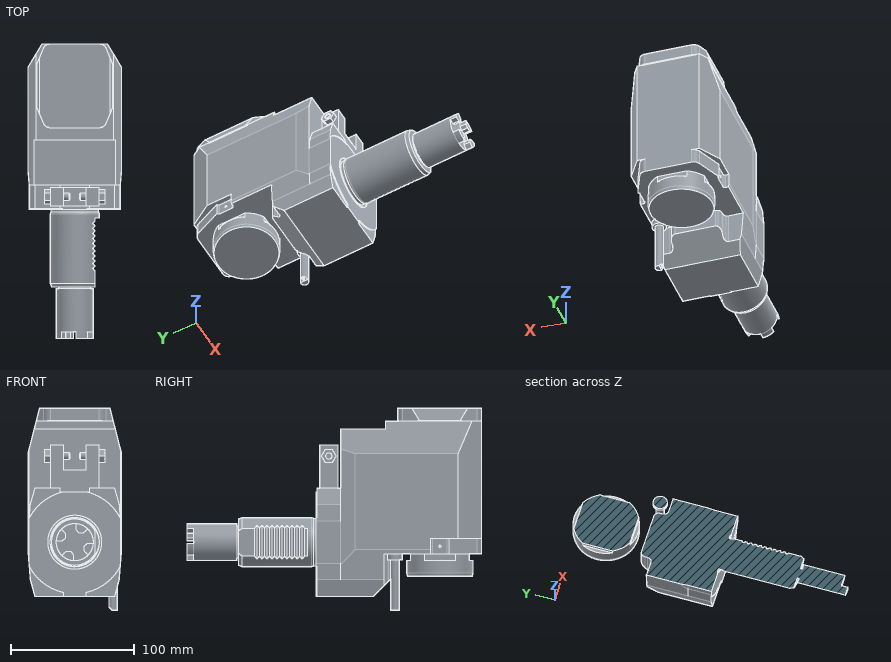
import cadquery as cq
import math


half_width = 38.0
overlap = 2.5
back_y = 134.2
flange_depth = 20.0
top_z = 98.0
ledge_z = 91.7
ledge_y = 56.1
underside_z = -9.5
foot_z = -44.2
foot_back_y = 55.2
foot_bevel = 8.8

shoulder_z = 71.7
top_half_width = 31.3
shoulder_slope = (half_width - top_half_width) / (top_z - shoulder_z)
waist_z = -6.0
knee_z = 30.3
knee_half_width = 36.0
foot_half_width = 32.2
back_half_width = 26.5
back_bevel_y = 115.1
front_bevel_y = 31.8
front_half_width = 37.0

spindle_y = 100.3
cap_top_z = 108.5
end_half_width = 24.0
end_slope = math.tan(math.radians(22.5))
end_fillet = 6.2
end_front_y = 66.2
end_center_y = (back_y + end_front_y) / 2
end_half_length = (back_y - end_front_y) / 2
joint_height = 0.5
joint_inset = 0.5
recess_top_z = 2.9
pocket_half_length = 7.6
pocket_half_width = 33.5
pocket_fillet = 1.7
pocket_hole_diameter = 1.7
pocket_hole_depth = 2.5

rib_back_y = 65.5
rib_half_width = 21.5
rib_fillet = 4.3
rib_root_fillet = 3.5

flange_top_z = 43.7
flange_mid_z = 17.2
pad_height = 0.7
pad_radius = 41.8
tongue_width = 18.2
notch_width = 24.0
notch_floor_z = 40.5
collar_recess_diameter = 43.7

fork_front_y = 2.9
fork_back_y = 18.0
fork_half_width = 19.8
fork_top_z = 78.8
fork_gap = 18.2
fork_floor_z = 58.5
bolt_z = 69.7
bolt_tip_x = 3.8
bolt_diameter = 6.0
bolt_chamfer = 1.0
bolt_head_height = 4.5
bolt_head_flats = 10.3
bolt_socket_diameter = 5.0
bolt_socket_depth = 0.7

shank_diameter = 40.0
undercut_diameter = 38.7
undercut_length = 2.0
shank_start_chamfer = 0.5
shank_start_chamfer_length = 1.7
shank_end_y = -62.8
shank_end_chamfer = 1.2
shank_end_chamfer_length = 3.0
neck_diameter = 26.0
neck_length = 1.2
drive_diameter = 30.0
tip_y = -104.5
flat_x = 16.5
flat_start_y = -7.0
tooth_count = 10
tooth_pitch = 4.0
tooth_depth = 2.0
first_tooth_y = -11.2

lug_count = 4
lug_length = 5.5
lug_side_x = 1.0
lug_side_z = 10.3
lug_nose_start_x = 3.3
lug_nose_end_x = 7.0
lug_nose_z = 7.5
lug_outer_x = 14.5

nose_diameter = 54.0
nose_end_z = -27.7
nose_chamfer_height = 2.9
nose_chamfer = 0.7
nose_flats = 47.8
nose_flats_end_z = -14.8

pipe_x = 31.0
pipe_y = 64.0
pipe_diameter = 7.0
pipe_end_z = -55.2
pipe_bevel = 2.6
nozzle_diameter = 2.1
nozzle_depth = 2.9
pipe_collar_diameter = 12.0
pipe_collar_height = 4.8


def box(x_range, y_range, z_range):
    sizes = [high - low for low, high in (x_range, y_range, z_range)]
    corner = (x_range[0], y_range[0], z_range[0])
    return cq.Workplane("XY").box(*sizes, centered=False).translate(corner)


def rod_along_y(diameter, y_start, y_end):
    """Cylinder on the shank axis, from y_start down to y_end."""
    plane = cq.Workplane("XZ", origin=(0, y_start, 0))
    return plane.circle(diameter / 2).extrude(y_start - y_end)


def rod_along_z(diameter, x, y, z_top, z_bottom):
    return cq.Workplane("XY", origin=(x, y, z_bottom)).circle(diameter / 2).extrude(z_top - z_bottom)


def symmetric_prism(plane, right_side, length):
    """Prism whose outline is the given right side and its mirror image."""
    left_side = [(-u, v) for u, v in reversed(right_side)]
    return plane.polyline(right_side + left_side).close().extrude(length)


def housing_section():
    """Housing cross-section along Y, with its shoulders running on up to the cap."""
    cap_half_width = half_width - shoulder_slope * (cap_top_z - shoulder_z)
    right_side = [
        (foot_half_width, foot_z),
        (knee_half_width, -knee_z),
        (half_width, waist_z),
        (half_width, shoulder_z),
        (cap_half_width, cap_top_z),
    ]
    plane = cq.Workplane("XZ", origin=(0, back_y, 0))
    return symmetric_prism(plane, right_side, back_y - flange_depth)


def housing_side():
    outline = [
        (flange_depth, foot_z),
        (foot_back_y - foot_bevel, foot_z),
        (foot_back_y, foot_z + foot_bevel),
        (foot_back_y, underside_z),
        (back_y, underside_z),
        (back_y, top_z),
        (ledge_y, top_z),
        (ledge_y, ledge_z),
        (flange_depth, ledge_z),
    ]
    return cq.Workplane("YZ").polyline(outline).close().extrude(half_width, both=True)


def housing_plan():
    right_side = [
        (front_half_width, flange_depth),
        (half_width, front_bevel_y),
        (half_width, back_bevel_y),
        (back_half_width, back_y),
    ]
    plane = cq.Workplane("XY", origin=(0, 0, foot_z))
    return symmetric_prism(plane, right_side, top_z - foot_z)


def end_block(z_bottom, z_top):
    """Six-sided block above and below the spindle, rounded at its front and back corners."""
    bulge = end_half_width + end_slope * end_half_length
    right_side = [
        (end_half_width, -end_half_length),
        (bulge, 0),
        (end_half_width, end_half_length),
    ]
    plane = cq.Workplane("XY", origin=(0, end_center_y, z_bottom))
    block = symmetric_prism(plane, right_side, z_top - z_bottom)
    return block.edges("|Z and (>Y or <Y)").fillet(end_fillet)


def side_pocket():
    """Pocket beside the spindle, on both sides of the housing, with a pin hole in its floor."""
    pocket = box(
        (pocket_half_width, half_width + overlap),
        (spindle_y - pocket_half_length, spindle_y + pocket_half_length),
        (underside_z, recess_top_z),
    )
    pocket = pocket.edges("|Z and <X").fillet(pocket_fillet)
    hole_z = (underside_z + recess_top_z) / 2
    hole_plane = cq.Workplane("YZ", origin=(pocket_half_width, spindle_y, hole_z))
    hole = hole_plane.circle(pocket_hole_diameter / 2).extrude(-pocket_hole_depth)
    pocket = pocket.union(hole)
    return pocket.union(pocket.mirror("YZ"))


def foot_rib():
    """Rib behind the foot, under the same 45 degree bevel as the foot."""
    rib = box(
        (-rib_half_width, rib_half_width),
        (foot_back_y - overlap, rib_back_y),
        (foot_z, underside_z),
    )
    rib = rib.edges("|Z and >Y").fillet(rib_fillet)
    for side in (-1, 1):
        corner_x = side * rib_half_width
        root_x = side * (rib_half_width + rib_root_fillet)
        root = box(
            (min(corner_x, root_x), max(corner_x, root_x)),
            (foot_back_y, foot_back_y + rib_root_fillet),
            (foot_z, underside_z),
        )
        hollow = rod_along_z(
            2 * rib_root_fillet, root_x, foot_back_y + rib_root_fillet, underside_z, foot_z
        )
        rib = rib.union(root.cut(hollow))
    bevel_start_y = foot_back_y - foot_bevel
    bevel_rise = underside_z - foot_z
    below_bevel = [
        (bevel_start_y, foot_z),
        (bevel_start_y + bevel_rise, underside_z),
        (bevel_start_y + bevel_rise, foot_z),
    ]
    cutter = cq.Workplane("YZ").polyline(below_bevel).close().extrude(half_width, both=True)
    return rib.cut(cutter)


def cap(section):
    """Cap that follows the housing shoulders, set off by a shallow joint groove."""
    joint_top_z = top_z + joint_height
    joint_half_width = top_half_width - shoulder_slope * joint_height - joint_inset
    joint = end_block(top_z, joint_top_z).intersect(
        box(
            (-joint_half_width, joint_half_width),
            (end_front_y + joint_inset, back_y - joint_inset),
            (top_z, joint_top_z),
        )
    )
    return end_block(joint_top_z, cap_top_z).intersect(section).union(joint)


def housing():
    section = housing_section()
    body = section.intersect(housing_side()).intersect(housing_plan())
    recess = box(
        (-half_width, half_width),
        (spindle_y, back_y),
        (underside_z, recess_top_z),
    ).cut(end_block(underside_z, recess_top_z))
    return body.cut(recess).cut(side_pocket()).union(cap(section)).union(foot_rib())


def flange():
    right_side = [
        (foot_half_width, foot_z),
        (knee_half_width, -knee_z),
        (front_half_width, -flange_mid_z),
        (front_half_width, flange_mid_z),
        (knee_half_width, knee_z),
        (foot_half_width, flange_top_z),
    ]
    plane = cq.Workplane("XZ", origin=(0, flange_depth, 0))
    plate = symmetric_prism(plane, right_side, flange_depth)
    face_layer = box((-half_width, half_width), (0, pad_height), (foot_z, flange_top_z))
    pad = rod_along_y(2 * pad_radius, pad_height, 0)
    tongue = box((-tongue_width / 2, tongue_width / 2), (0, pad_height), (foot_z, 0))
    notch = box(
        (-notch_width / 2, notch_width / 2), (0, flange_depth), (notch_floor_z, flange_top_z)
    )
    collar_recess = rod_along_y(collar_recess_diameter, pad_height, 0)
    return plate.cut(face_layer.cut(pad).cut(tongue)).cut(notch).cut(collar_recess)


def fork_bolt():
    """Hexagon-head bolt through the fork arm on the -X side."""
    bolt_y = (fork_front_y + fork_back_y) / 2
    plane = cq.Workplane("YZ", origin=(-fork_half_width, bolt_y, bolt_z))
    stem = plane.circle(bolt_diameter / 2).extrude(fork_half_width - bolt_tip_x)
    stem = stem.faces(">X").chamfer(bolt_chamfer)
    head_corners = bolt_head_flats / math.cos(math.pi / 6)
    head = plane.polygon(6, head_corners).extrude(-bolt_head_height)
    head = head.faces("<X").workplane().hole(bolt_socket_diameter, bolt_socket_depth)
    return stem.union(head)


def fork():
    y_range = (fork_front_y, fork_back_y)
    arms = box((-fork_half_width, fork_half_width), y_range, (flange_top_z, fork_top_z))
    gap = box((-fork_gap / 2, fork_gap / 2), y_range, (fork_floor_z, fork_top_z))
    foot = box((-notch_width / 2, notch_width / 2), y_range, (notch_floor_z, flange_top_z))
    bolt = fork_bolt()
    return arms.cut(gap).union(foot).union(bolt).union(bolt.mirror("YZ"))


def tooth_row():
    """Flat along the +X side of the shank, with a row of V-shaped teeth."""
    flat = box(
        (flat_x, shank_diameter),
        (shank_end_y, flat_start_y),
        (-shank_diameter / 2, shank_diameter / 2),
    )
    for index in range(tooth_count):
        y = first_tooth_y - index * tooth_pitch
        outline = [
            (flat_x, y - tooth_pitch / 2),
            (flat_x - tooth_depth, y),
            (flat_x, y + tooth_pitch / 2),
        ]
        groove = cq.Workplane("XY").polyline(outline).close().extrude(shank_diameter / 2, both=True)
        flat = flat.union(groove)
    return flat


def tip_lugs():
    """Lugs with bevelled noses, flush with the drive diameter and evenly spaced on the axis."""
    drive_radius = drive_diameter / 2
    outline = [
        (lug_side_x, drive_radius),
        (lug_side_x, lug_side_z),
        (lug_nose_start_x, lug_nose_z),
        (lug_nose_end_x, lug_nose_z),
        (lug_outer_x, lug_nose_z + lug_outer_x - lug_nose_end_x),
    ]
    lug_base_y = tip_y + lug_length
    plane = cq.Workplane("XZ", origin=(0, lug_base_y, 0))
    lug = plane.polyline(outline).close().extrude(lug_length)
    lug = lug.intersect(rod_along_y(drive_diameter, lug_base_y, tip_y))
    lugs = lug
    for index in range(1, lug_count):
        lugs = lugs.union(lug.rotate((0, 0, 0), (0, 1, 0), index * 360 / lug_count))
    return lugs


def shank():
    undercut = rod_along_y(undercut_diameter, flange_depth, -undercut_length)
    body_plane = cq.Workplane("XZ", origin=(0, -undercut_length, 0))
    body = body_plane.circle(shank_diameter / 2).extrude(-undercut_length - shank_end_y)
    body = body.faces("<Y").chamfer(shank_end_chamfer_length, shank_end_chamfer)
    body = body.faces(">Y").chamfer(shank_start_chamfer_length, shank_start_chamfer)
    body = body.cut(tooth_row())
    drive_start_y = shank_end_y - neck_length
    neck = rod_along_y(neck_diameter, shank_end_y, drive_start_y)
    drive = rod_along_y(drive_diameter, drive_start_y, tip_y + lug_length)
    return undercut.union(body).union(neck).union(drive).union(tip_lugs())


def spindle_nose():
    nose = rod_along_z(nose_diameter, 0, spindle_y, underside_z, nose_end_z)
    nose = nose.faces("<Z").chamfer(nose_chamfer_height, nose_chamfer)
    half = nose_diameter / 2
    band_z = (nose_flats_end_z, underside_z)
    band = box((-half, half), (spindle_y - half, spindle_y + half), band_z)
    core = box(
        (-nose_flats / 2, nose_flats / 2),
        (spindle_y - nose_flats / 2, spindle_y + nose_flats / 2),
        band_z,
    )
    return nose.cut(band.cut(core))


def coolant_pipe():
    """Pipe below the housing, with a nozzle hole in its bevelled end."""
    pipe = rod_along_z(pipe_diameter, pipe_x, pipe_y, underside_z, pipe_end_z)
    left_x = pipe_x - pipe_diameter / 2
    bevel = [
        (left_x, pipe_end_z),
        (left_x + pipe_bevel, pipe_end_z),
        (left_x, pipe_end_z + pipe_bevel),
    ]
    bevel_plane = cq.Workplane("XZ", origin=(0, pipe_y, 0))
    pipe = pipe.cut(bevel_plane.polyline(bevel).close().extrude(pipe_diameter / 2, both=True))
    nozzle_center = (left_x + pipe_bevel / 2, pipe_y, pipe_end_z + pipe_bevel / 2)
    nozzle_plane = cq.Plane(origin=nozzle_center, xDir=(0, 1, 0), normal=(1, 0, 1))
    nozzle = cq.Workplane(nozzle_plane).circle(nozzle_diameter / 2).extrude(nozzle_depth)
    collar_end_z = underside_z - pipe_collar_height
    collar = rod_along_z(pipe_collar_diameter, pipe_x, pipe_y, underside_z, collar_end_z)
    return pipe.cut(nozzle).union(collar)


result = housing()
for feature in (flange(), fork(), shank(), spindle_nose(), coolant_pipe()):
    result = result.union(feature)